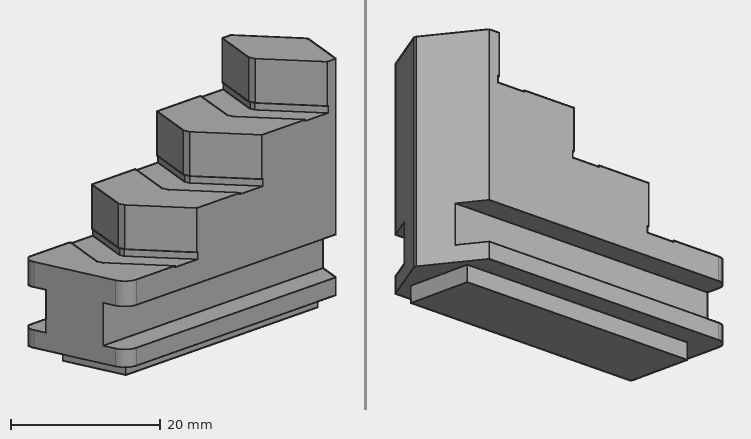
import cadquery as cq
import math

length = 49.85
width = 18.0
height = 35.5
half_width = width / 2
front_y = -length / 2
back_y = length / 2

key_height = 2.5
lower_flange_height = 2.5
slot_height = 6.0
upper_flange_height = 3.55
slot_bottom_z = key_height + lower_flange_height
lowest_tread_z = slot_bottom_z + slot_height + upper_flange_height

chevron_slope = math.tan(math.radians(30))
back_tip_flat = 0.4
front_corner_radius = 2.0
web_width = 9.8
key_width = 10.8
key_front_margin = 4.25
key_back_margin = 4.5

step_count = 3
step_rise = (height - lowest_tread_z) / step_count
step_pitch = 13.95
top_riser_setback = 7.0
riser_tip_flat = 1.1

tread_recess_depth = 0.2
tread_recess_length = 4.65
undercut_height = 0.8
undercut_depth = 0.2
undercut_tip_flat = 0.8


def chevron_depth(tip_flat):
    """Distance from the side corners to the flattened tip of a chevron."""
    return (half_width - tip_flat / 2) * chevron_slope


def chevron_edge(side_y, tip_flat):
    """Points of a chevron pointing toward -Y, from the -X side to the +X side."""
    tip_y = side_y - chevron_depth(tip_flat)
    return [
        (-half_width, side_y),
        (-tip_flat / 2, tip_y),
        (tip_flat / 2, tip_y),
        (half_width, side_y),
    ]


def chevron_prism(front_side_y, front_flat, back_side_y, back_flat, bottom_z, prism_height):
    """Full-width block bounded by one chevron in front and another behind."""
    front = chevron_edge(front_side_y, front_flat)
    back = chevron_edge(back_side_y, back_flat)
    outline = front + back[::-1]
    return cq.Workplane("XY").workplane(offset=bottom_z).polyline(outline).close().extrude(prism_height)


def make_body():
    """Upright block with a pointed back and rounded front corners."""
    shoulder_y = back_y - chevron_depth(back_tip_flat)
    outline = [
        (-half_width, front_y),
        (half_width, front_y),
        (half_width, shoulder_y),
        (back_tip_flat / 2, back_y),
        (-back_tip_flat / 2, back_y),
        (-half_width, shoulder_y),
    ]
    body = cq.Workplane("XY").workplane(offset=key_height).polyline(outline).close()
    body = body.extrude(height - key_height)
    return body.edges("|Z and <Y").fillet(front_corner_radius)


def cut_step(body, index):
    """Clear the space in front of one riser, counted from the top, and relieve its foot."""
    riser_y = back_y - top_riser_setback - index * step_pitch
    tread_z = height - (index + 1) * step_rise
    recess_z = tread_z - tread_recess_depth

    clearance = chevron_prism(
        riser_y - length, riser_tip_flat, riser_y, riser_tip_flat, tread_z, height - tread_z
    )
    recess = chevron_prism(
        riser_y - tread_recess_length, riser_tip_flat, riser_y, riser_tip_flat,
        recess_z, tread_recess_depth,
    )
    undercut = chevron_prism(
        riser_y, riser_tip_flat, riser_y + undercut_depth, undercut_tip_flat,
        recess_z, tread_recess_depth + undercut_height,
    )
    return body.cut(clearance).cut(recess).cut(undercut)


def cut_side_slots(body):
    """Cut the two full-length side slots that leave the central web."""
    slot_depth = (width - web_width) / 2
    for side in (-1, 1):
        slot_center_x = side * (web_width + slot_depth) / 2
        slot = (
            cq.Workplane("XY")
            .box(slot_depth, length, slot_height, centered=(True, True, False))
            .translate((slot_center_x, 0, slot_bottom_z))
        )
        body = body.cut(slot)
    return body


def make_key():
    """Rectangular locating key under the lower flange."""
    key_length = length - key_front_margin - key_back_margin
    key = cq.Workplane("XY").box(key_width, key_length, key_height, centered=(True, False, False))
    return key.translate((0, front_y + key_front_margin, 0))


result = make_body()
for step_index in range(step_count):
    result = cut_step(result, step_index)
result = cut_side_slots(result).union(make_key())